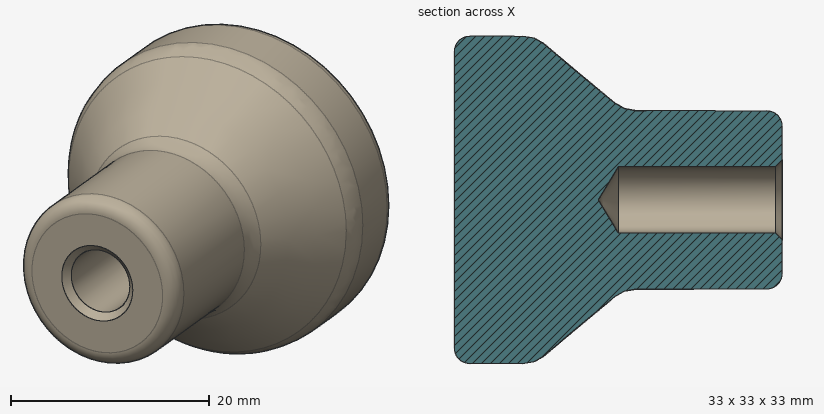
import cadquery as cq
import math

length = 33.0
head_diameter = 33.0
stem_diameter = 18.0

stem_length = 15.95
head_thickness = 8.1

end_radius = 1.6
blend_radius = 3.3

hole_diameter = 6.63
hole_mouth_diameter = 8.05
hole_depth = 16.5
drill_point_angle = 118.0


def revolve_about_y(profile):
    return profile.close().revolve(360, (0, 0, 0), (0, 1, 0))


def make_body():
    stem_radius = stem_diameter / 2
    head_radius = head_diameter / 2
    cone_end = length - head_thickness
    body = revolve_about_y(
        cq.Workplane("XY")
        .lineTo(stem_radius, 0)
        .lineTo(stem_radius, stem_length)
        .lineTo(head_radius, cone_end)
        .lineTo(head_radius, length)
        .lineTo(0, length)
    )
    body = body.faces("<Y or >Y").edges().fillet(end_radius)
    cone_edges = body.faces("%CONE").edges("%CIRCLE")
    return cone_edges.fillet(blend_radius)


def make_hole():
    hole_radius = hole_diameter / 2
    mouth_radius = hole_mouth_diameter / 2
    chamfer = mouth_radius - hole_radius
    point_height = hole_radius / math.tan(math.radians(drill_point_angle / 2))
    return revolve_about_y(
        cq.Workplane("XY")
        .lineTo(mouth_radius, 0)
        .lineTo(hole_radius, chamfer)
        .lineTo(hole_radius, hole_depth)
        .lineTo(0, hole_depth + point_height)
    )


result = make_body().cut(make_hole())